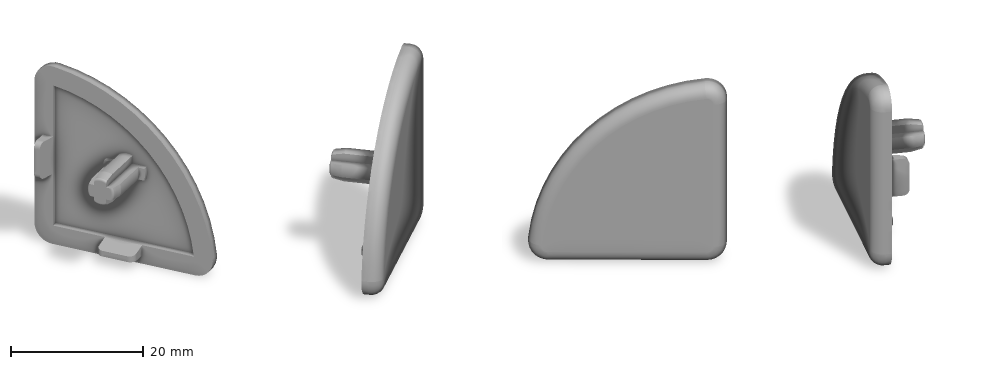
import cadquery as cq
import math

SIDE = 30.0
PLATE_THICKNESS = 3.0
CORNER_RADIUS = 3.0
EDGE_FILLET = 2.0
CORNER_CENTRE = SIDE - CORNER_RADIUS
PLATE_ARC_RADIUS = math.hypot(CORNER_CENTRE, CORNER_RADIUS) + CORNER_RADIUS

RIM_WIDTH = 3.12
POCKET_ARC_RADIUS = 27.0
POCKET_DEPTH = 1.0

TAB_CENTRE = SIDE / 2
TAB_WIDTH = 6.25
TAB_HEIGHT = 3.0
TAB_OUTER = 1.4
TAB_TIP_THICKNESS = 0.95
TAB_CORNER_RADIUS = 1.0

PIN_CENTRE = SIDE / 2
PIN_RADIUS = 2.55
PIN_LENGTH = 8.0
PIN_STRAIGHT = 6.0
PIN_TIP_RADIUS = 2.25
TIP_ROUND = 0.4
ARM_WIDTH = 2.0
WING_RADIUS = 3.5
WING_HEIGHT = 0.8


def quarter_outline(offset, arc_radius):
    """Sharp quarter-disc wire whose straight sides lie at the given offset from X = 0 and Z = 0."""
    arc_end = math.sqrt(arc_radius**2 - offset**2)
    arc_middle = arc_radius * math.sqrt(0.5)
    return (
        cq.Workplane("XZ")
        .moveTo(offset, offset)
        .lineTo(arc_end, offset)
        .threePointArc((arc_middle, arc_middle), (offset, arc_end))
        .close()
    )


def make_plate():
    plate = quarter_outline(0, PLATE_ARC_RADIUS).extrude(-PLATE_THICKNESS)
    plate = plate.edges("|Y").fillet(CORNER_RADIUS)
    plate = plate.faces(">Y").edges().fillet(EDGE_FILLET)
    pocket = quarter_outline(RIM_WIDTH, POCKET_ARC_RADIUS).extrude(-POCKET_DEPTH)
    return plate.cut(pocket)


def make_left_tab():
    """Wedge with a straight outer face, a sloping inner face and rounded tip corners."""
    tab = (
        cq.Workplane("XY")
        .workplane(offset=TAB_CENTRE - TAB_WIDTH / 2)
        .moveTo(TAB_OUTER, 0)
        .lineTo(RIM_WIDTH, 0)
        .lineTo(TAB_OUTER + TAB_TIP_THICKNESS, -TAB_HEIGHT)
        .lineTo(TAB_OUTER, -TAB_HEIGHT)
        .close()
        .extrude(TAB_WIDTH)
    )
    return tab.faces("<Y").edges("|X").fillet(TAB_CORNER_RADIUS)


def make_bottom_tab():
    """The left tab mirrored across the diagonal X = Z."""
    turned = make_left_tab().rotate((0, 0, 0), (0, 1, 0), 90)
    return turned.mirror("XY")


def cross_arm(length, start, height, along_x):
    """Bar through the pin axis that rises from Y = start towards -Y."""
    size = (length, ARM_WIDTH) if along_x else (ARM_WIDTH, length)
    return (
        cq.Workplane("XZ", origin=(PIN_CENTRE, start, PIN_CENTRE))
        .rect(*size)
        .extrude(height)
    )


def make_pin():
    """Turned pin with a tapered, rounded tip, trimmed to a cross section."""
    round_start = PIN_LENGTH - TIP_ROUND
    bulge = TIP_ROUND * math.sqrt(0.5)
    flat_radius = PIN_TIP_RADIUS - TIP_ROUND
    turned = (
        cq.Workplane("XY", origin=(PIN_CENTRE, 0, PIN_CENTRE))
        .moveTo(0, POCKET_DEPTH)
        .lineTo(PIN_RADIUS, POCKET_DEPTH)
        .lineTo(PIN_RADIUS, -PIN_STRAIGHT)
        .lineTo(PIN_TIP_RADIUS, -round_start)
        .threePointArc((flat_radius + bulge, -round_start - bulge), (flat_radius, -PIN_LENGTH))
        .lineTo(0, -PIN_LENGTH)
        .close()
        .revolve(360, (0, 0, 0), (0, 1, 0))
    )
    full_height = POCKET_DEPTH + PIN_LENGTH
    cross = cross_arm(2 * PIN_RADIUS, POCKET_DEPTH, full_height, True)
    cross = cross.union(cross_arm(2 * PIN_RADIUS, POCKET_DEPTH, full_height, False))
    return turned.intersect(cross)


def make_wings():
    """Low bar with round ends on the pocket floor, reaching out on both sides of the pin."""
    disc = (
        cq.Workplane("XZ", origin=(PIN_CENTRE, POCKET_DEPTH, PIN_CENTRE))
        .circle(WING_RADIUS)
        .extrude(WING_HEIGHT)
    )
    return disc.intersect(cross_arm(2 * WING_RADIUS, POCKET_DEPTH, WING_HEIGHT, True))


result = (
    make_plate()
    .union(make_left_tab())
    .union(make_bottom_tab())
    .union(make_pin())
    .union(make_wings())
)